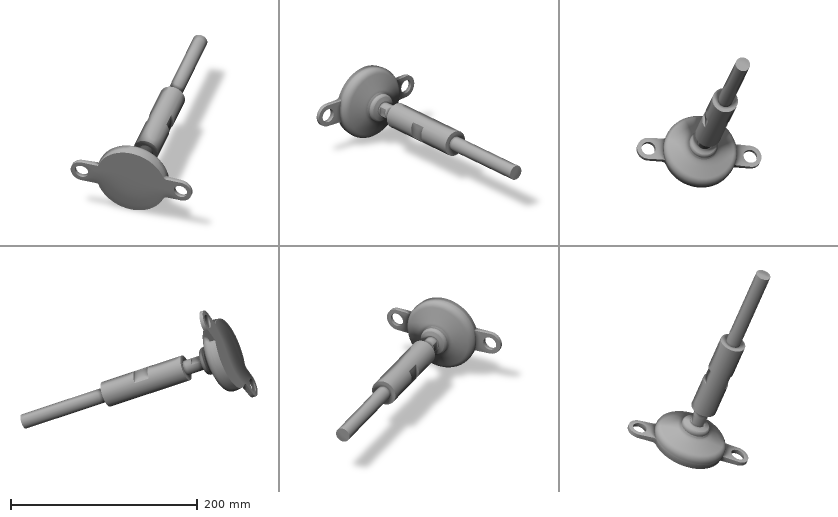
import cadquery as cq
import math

OVERALL_LENGTH = 246.5

FOOT_RADIUS = 80.0 / 2
FOOT_FLOOR_RADIUS = 39.2
RIM_BOTTOM = 6.5
RIM_TOP = 8.9
CONE_BOTTOM_RADIUS = 35.2
CONE_BOTTOM = 15.8
CONE_TOP_RADIUS = 16.3
CONE_TOP = 23.2
NECK_RADIUS = 14.5
NECK_BOTTOM = 24.6
NECK_TOP = 26.0

LUG_SPAN = 136.0
LUG_RADIUS = 12.3
LUG_HOLE_DIAMETER = 15.0
LUG_TIP_THICKNESS = 4.0
LUG_ROOT_THICKNESS = 6.0
LUG_ROOT_FILLET = 5.0
lug_hole_x = LUG_SPAN / 2 - LUG_RADIUS

ROD_RADIUS = 16.0 / 2
SLEEVE_RADIUS = 28.0 / 2
SLEEVE_BOTTOM = 52.8
SLEEVE_LENGTH = 95.1
SLEEVE_FLAT_WIDTH = 21.7
SLEEVE_FLAT_LENGTH = 17.0
ROD_FLAT_WIDTH = 12.5
ROD_FLAT_BOTTOM = 33.5
ROD_FLAT_LENGTH = 9.0
COLLAR_RADIUS = 15.5
COLLAR_EDGE = 26.4
COLLAR_WIDEST = 27.0
COLLAR_SHOULDER_RADIUS = 13.8
COLLAR_SHOULDER = 30.5
COLLAR_TOP_RADIUS = 9.0
COLLAR_TOP = 32.3


def revolve_about_y(profile):
    """Turn a closed half profile, drawn as (radius, y), about the Y axis."""
    return profile.close().revolve(360, (0, 0, 0), (0, 1, 0))


def make_lug_plate():
    """Both lugs on a disc, with rounded +X roots and tops that slope down to the tips."""
    disc = cq.Workplane("XZ").circle(FOOT_FLOOR_RADIUS).extrude(-LUG_ROOT_THICKNESS)
    strip = cq.Workplane("XZ").slot2D(LUG_SPAN, 2 * LUG_RADIUS).extrude(-LUG_ROOT_THICKNESS)
    plate = disc.union(strip)

    root_x = math.sqrt(FOOT_FLOOR_RADIUS**2 - LUG_RADIUS**2)
    root_y = LUG_ROOT_THICKNESS / 2
    for root_z in (-LUG_RADIUS, LUG_RADIUS):
        root_edge = cq.selectors.NearestToPointSelector((root_x, root_y, root_z))
        plate = plate.edges("|Y").edges(root_edge).fillet(LUG_ROOT_FILLET)

    slope = (
        cq.Workplane("XY")
        .moveTo(-LUG_SPAN / 2, 0)
        .lineTo(LUG_SPAN / 2, 0)
        .lineTo(LUG_SPAN / 2, LUG_TIP_THICKNESS)
        .lineTo(FOOT_FLOOR_RADIUS, LUG_ROOT_THICKNESS)
        .lineTo(-FOOT_FLOOR_RADIUS, LUG_ROOT_THICKNESS)
        .lineTo(-LUG_SPAN / 2, LUG_TIP_THICKNESS)
        .close()
        .extrude(FOOT_RADIUS, both=True)
    )
    holes = (
        cq.Workplane("XZ")
        .pushPoints([(-lug_hole_x, 0), (lug_hole_x, 0)])
        .circle(LUG_HOLE_DIAMETER / 2)
        .extrude(-LUG_ROOT_THICKNESS)
    )
    return plate.intersect(slope).cut(holes)


def make_flats(width, length, bottom, stock_radius):
    """Cutters that leave two wrench flats, facing -X and +X, a given width apart."""
    depth = stock_radius - width / 2
    return (
        cq.Workplane("XY")
        .pushPoints([(side * (width + depth) / 2, bottom + length / 2) for side in (-1, 1)])
        .rect(depth, length)
        .extrude(stock_radius, both=True)
    )


def make_foot():
    """Lugged foot disc with a conical top, a grooved neck, a rounded collar and a long rod."""
    body = revolve_about_y(
        cq.Workplane("XY")
        .lineTo(FOOT_FLOOR_RADIUS, 0)
        .lineTo(FOOT_RADIUS, RIM_BOTTOM)
        .lineTo(FOOT_RADIUS, RIM_TOP)
        .tangentArcPoint((CONE_BOTTOM_RADIUS, CONE_BOTTOM), relative=False)
        .lineTo(CONE_TOP_RADIUS, CONE_TOP)
        .lineTo(NECK_RADIUS, NECK_BOTTOM)
        .lineTo(NECK_RADIUS, NECK_TOP)
        .lineTo(COLLAR_RADIUS, COLLAR_EDGE)
        .lineTo(COLLAR_RADIUS, COLLAR_WIDEST)
        .tangentArcPoint((COLLAR_SHOULDER_RADIUS, COLLAR_SHOULDER), relative=False)
        .lineTo(COLLAR_TOP_RADIUS, COLLAR_TOP)
        .lineTo(ROD_RADIUS, COLLAR_TOP)
        .lineTo(ROD_RADIUS, OVERALL_LENGTH)
        .lineTo(0, OVERALL_LENGTH)
    )
    rod_flats = make_flats(ROD_FLAT_WIDTH, ROD_FLAT_LENGTH, ROD_FLAT_BOTTOM, ROD_RADIUS)
    return body.union(make_lug_plate()).cut(rod_flats)


def make_sleeve():
    """Long round nut that fits the rod, with two wrench flats at half its length."""
    body = (
        cq.Workplane("XZ", origin=(0, SLEEVE_BOTTOM, 0))
        .circle(SLEEVE_RADIUS)
        .circle(ROD_RADIUS)
        .extrude(-SLEEVE_LENGTH)
    )
    flat_bottom = SLEEVE_BOTTOM + (SLEEVE_LENGTH - SLEEVE_FLAT_LENGTH) / 2
    return body.cut(make_flats(SLEEVE_FLAT_WIDTH, SLEEVE_FLAT_LENGTH, flat_bottom, SLEEVE_RADIUS))


foot = make_foot()
sleeve = make_sleeve()

result = cq.Compound.makeCompound([foot.val(), sleeve.val()])